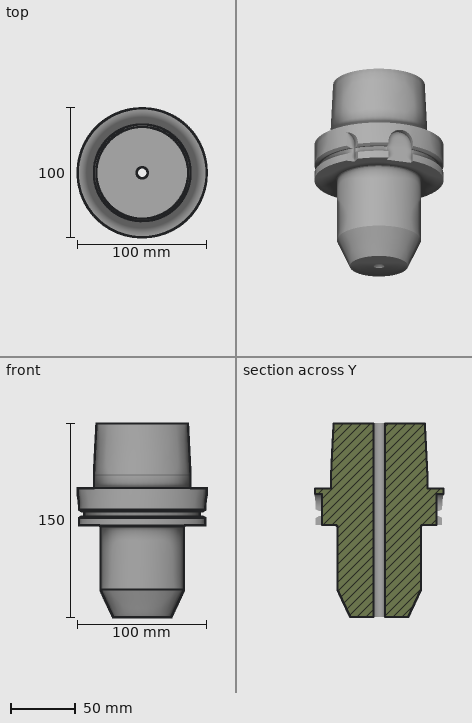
import cadquery as cq
import math

total_height = 150.0
nose_height = 21.3
flange_bottom = 71.0
flange_top = 100.0
taper_start = 110.0

nose_tip_radius = 22.5
body_radius = 32.5
flange_radius = 50.0
shank_radius = 37.5
taper_ratio = 1 / 20
shank_top_radius = shank_radius - taper_ratio * (total_height - taper_start)
neck_chamfer = 0.6
bore_radius = 4.2

groove_center = 80.0
groove_width = 3.75
groove_radius = 46.0
groove_bevel_depth = 2.6
groove_bevel_angle = math.radians(30)
groove_bevel_height = groove_bevel_depth * math.tan(groove_bevel_angle)
groove_bottom = groove_center - groove_width / 2
groove_top = groove_center + groove_width / 2
bevel_inner_radius = flange_radius - groove_bevel_depth

slot_width = 20.2
slot_top = 95.0
drive_slot_floor = 44.5
notch_floor = 31.8
notch_inner_edge = 31.7
notch_center = notch_inner_edge + slot_width / 2
cut_margin = 5.0


def make_turned_body():
    """Body of revolution: nose, body, grooved flange and tapered shank."""
    profile = [
        (0, 0),
        (nose_tip_radius, 0),
        (body_radius, nose_height),
        (body_radius, flange_bottom - neck_chamfer),
        (body_radius + neck_chamfer, flange_bottom),
        (flange_radius, flange_bottom),
        (flange_radius, groove_bottom - groove_bevel_height),
        (bevel_inner_radius, groove_bottom),
        (groove_radius, groove_bottom),
        (groove_radius, groove_top),
        (bevel_inner_radius, groove_top),
        (flange_radius, groove_top + groove_bevel_height),
        (flange_radius, flange_top),
        (shank_radius, flange_top),
        (shank_radius, taper_start),
        (shank_top_radius, total_height),
        (0, total_height),
    ]
    return cq.Workplane("XZ").polyline(profile).close().revolve(360, (0, 0), (0, 1))


def make_slot_cutter(side, center_y, floor_distance):
    """Round-topped slot from the floor outward on the given side of X, down to the flange underside."""
    half_width = slot_width / 2
    arc_start = slot_top - half_width
    return (
        cq.Workplane("YZ", origin=(side * floor_distance, 0, 0))
        .moveTo(center_y - half_width, flange_bottom)
        .lineTo(center_y - half_width, arc_start)
        .threePointArc((center_y, slot_top), (center_y + half_width, arc_start))
        .lineTo(center_y + half_width, flange_bottom)
        .close()
        .extrude(side * (flange_radius + cut_margin - floor_distance))
    )


result = make_turned_body()

for side in (-1, 1):
    result = result.cut(make_slot_cutter(side, 0, drive_slot_floor))

result = result.cut(make_slot_cutter(-1, notch_center, notch_floor))

bore = cq.Workplane("XY").circle(bore_radius).extrude(total_height)
result = result.cut(bore)